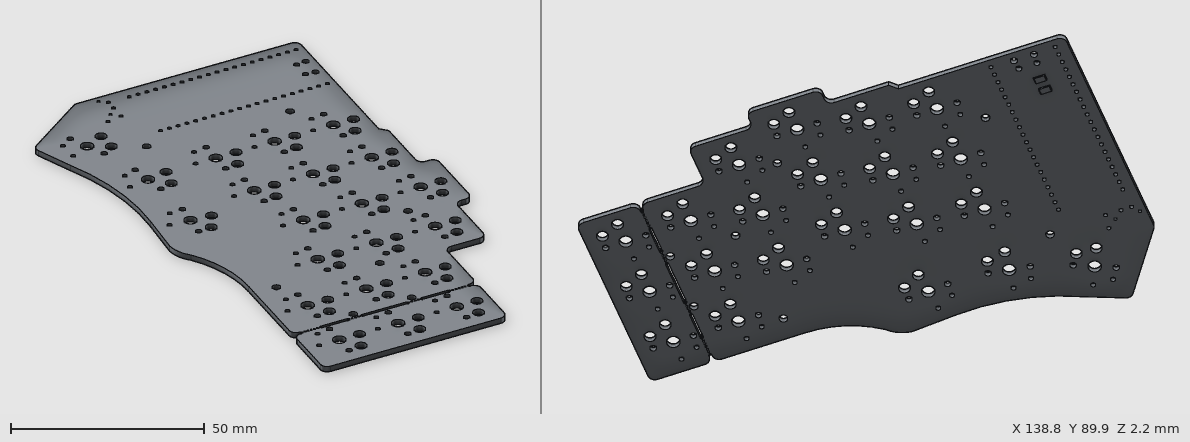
import cadquery as cq
import math


board_length = 138.8
board_thickness = 1.7
corner_radius = 2.0
key_margin = 9.6

rows = 3
grid_height = 34.0
grid_length = 90.0
first_column_x = 38.9
column_bottom_y = [39.4, 41.4, 46.4, 41.4, 29.3, 29.3]

thumb_keys = [(18.9, 12.4, 25), (39.8, 19.3, 10), (61.8, 20.4, -5)]

stem_diameter = 3.5
socket_diameter = 3.0
socket_places = [(0, 5.8), (5.0, 3.7)]
peg_diameter = 1.7
peg_places = [(-5.5, 0), (5.5, 0)]
pin_diameter = 1.26
pin_places = [(0, -5.8), (-5.0, -3.7)]

bevel_start_x = 45.8
step_up_x = 64.8
step_down_x = 85.2
outer_step_x = 103.1

left_edge_end = (0, 18.5)
lower_tip = (13.6, -0.4)
palm_arc = [(25.0, 4.5), (40.3, 9.7), (57.6, 11.0)]
bulge_arc = [(70.1, 10.1), (73.5, 11.1), (76.3, 13.2)]
hollow_middle = (86.0, 18.2)
hollow_end_x = 96.0

gap_x = 121.5
gap_width = 0.8
inner_tab_offset = 8.6
outer_tab_offset = 21.4
break_hole_diameter = 0.5
break_hole_pitch = 0.9
inner_tab_break_holes = 5
outer_tab_break_holes = 7

controller_pins = 20
controller_pin_diameter = 1.01
controller_row_x = [3.3, 21.1]
controller_first_pin_y = 32.5
controller_row_length = 48.3

connector_x = 12.1
connector_wide_diameter = 1.8
connector_wide_y = 80.5
connector_wide_half_spacing = 2.8
connector_narrow_diameter = 1.5
connector_narrow_y = 77.7
connector_narrow_half_spacing = 2.5

corner_pin_diameter = 1.01
corner_pin_places = [(3.2, 26.5), (6.1, 26.5), (10.4, 26.5), (11.1, 22.3)]
corner_peg_diameter = 0.8
corner_peg_places = [(1.7, 24.4), (8.5, 24.4)]

mounting_diameter = 2.2
mounting_places = [(26.0, 26.0), (28.2, 66.3), (83.4, 72.3), (99.7, 26.0), (101.7, 54.8),
                   (119.8, 54.8), (119.8, 37.9)]

resistor_length = 3.2
resistor_width = 1.7
resistor_height = 0.5
resistor_end_chamfer = 0.21
resistor_x = 10.5
resistor_y = [69.3, 72.9]

row_pitch = grid_height / (rows - 1)
column_pitch = grid_length / (len(column_bottom_y) - 1)
controller_pin_pitch = controller_row_length / (controller_pins - 1)
column_height = grid_height + 2 * key_margin
column_top_y = [y + grid_height + key_margin for y in column_bottom_y]
outer_bottom_y = column_bottom_y[-1] - key_margin
main_right_x = gap_x - gap_width / 2
snap_left_x = gap_x + gap_width / 2
gap_middle_y = outer_bottom_y + column_height / 2


def turned(point, degrees):
    """The point turned about the origin."""
    angle = math.radians(degrees)
    x, y = point
    return (x * math.cos(angle) - y * math.sin(angle), x * math.sin(angle) + y * math.cos(angle))


def drills(places, diameter):
    """Cylinders that drill holes through the board."""
    return cq.Workplane("XY").pushPoints(places).circle(diameter / 2).extrude(board_thickness)


def round_corners(board, corners):
    """The board with its upright edges at these corners rounded."""
    for x, y in corners:
        upright_edge = cq.NearestToPointSelector((x, y, board_thickness / 2))
        board = board.edges(upright_edge).fillet(corner_radius)
    return board


def make_main_area():
    """The large area of the board, with its stepped upper and curved lower edge."""
    left_top, index_top, middle_top, ring_top, outer_top = column_top_y[:5]
    bevel = index_top - left_top
    upper_corners = [
        (main_right_x, outer_bottom_y),
        (main_right_x, outer_top),
        (outer_step_x, outer_top),
        (outer_step_x, ring_top),
        (step_down_x, ring_top),
        (step_down_x, middle_top),
        (step_up_x, middle_top),
        (step_up_x, index_top),
    ]
    left_corners = [(0, left_top), left_edge_end]
    area = cq.Workplane("XY").moveTo(*lower_tip).lineTo(*palm_arc[0])
    area = area.threePointArc(palm_arc[1], palm_arc[2]).lineTo(*bulge_arc[0])
    area = area.threePointArc(bulge_arc[1], bulge_arc[2])
    area = area.threePointArc(hollow_middle, (hollow_end_x, outer_bottom_y))
    for corner in upper_corners:
        area = area.lineTo(*corner)
    area = area.lineTo(bevel_start_x + bevel, index_top).lineTo(bevel_start_x, left_top)
    for corner in left_corners:
        area = area.lineTo(*corner)
    area = area.close().extrude(board_thickness)
    return round_corners(area, upper_corners + left_corners + [lower_tip])


def make_snap_column():
    """The plate of the snap-off outer column."""
    width = board_length - snap_left_x
    column = cq.Workplane("XY").box(width, column_height, board_thickness, centered=False)
    column = column.edges("|Z").fillet(corner_radius)
    return column.translate((snap_left_x, outer_bottom_y, 0))


def break_tabs():
    """The tabs across the gap, and the drills for their break holes."""
    tabs = cq.Workplane("XY")
    hole_places = []
    for offset, count in [(inner_tab_offset, inner_tab_break_holes),
                          (outer_tab_offset, outer_tab_break_holes)]:
        half_span = (count - 1) / 2 * break_hole_pitch
        height = 2 * half_span + break_hole_diameter
        for tab_y in (gap_middle_y - offset, gap_middle_y + offset):
            tab = cq.Workplane("XY").center(gap_x, tab_y).rect(gap_width, height)
            tabs = tabs.add(tab.extrude(board_thickness))
            for i in range(count):
                hole_places.append((gap_x, tab_y - half_span + i * break_hole_pitch))
    return tabs, drills(hole_places, break_hole_diameter)


def key_drills():
    """Drills for the switch holes of every key."""
    keys = list(thumb_keys)
    for column, bottom_y in enumerate(column_bottom_y):
        for row in range(rows):
            keys.append((first_column_x + column * column_pitch, bottom_y + row * row_pitch, 0))
    tools = []
    for places, diameter in [([(0, 0)], stem_diameter), (socket_places, socket_diameter),
                             (peg_places, peg_diameter), (pin_places, pin_diameter)]:
        hole_places = []
        for key_x, key_y, turn in keys:
            for place in places:
                dx, dy = turned(place, turn)
                hole_places.append((key_x + dx, key_y + dy))
        tools.append(drills(hole_places, diameter))
    return tools


def controller_drills():
    """Drills for the two pin rows of the controller."""
    hole_places = []
    for x in controller_row_x:
        for i in range(controller_pins):
            hole_places.append((x, controller_first_pin_y + i * controller_pin_pitch))
    return drills(hole_places, controller_pin_diameter)


def connector_drills():
    """Drills for the connector: a wide pair and a narrow pair of holes."""
    tools = []
    for y, half_spacing, diameter in [
        (connector_wide_y, connector_wide_half_spacing, connector_wide_diameter),
        (connector_narrow_y, connector_narrow_half_spacing, connector_narrow_diameter),
    ]:
        pair = [(connector_x - half_spacing, y), (connector_x + half_spacing, y)]
        tools.append(drills(pair, diameter))
    return tools


def make_board():
    """The circuit board: main area and snap-off column in one piece, with all its holes."""
    tabs, break_drills = break_tabs()
    board = make_main_area().union(make_snap_column())
    for tab in tabs.vals():
        board = board.union(cq.Workplane(tab))
    tools = [
        break_drills,
        *key_drills(),
        controller_drills(),
        *connector_drills(),
        drills(corner_pin_places, corner_pin_diameter),
        drills(corner_peg_places, corner_peg_diameter),
        drills(mounting_places, mounting_diameter),
    ]
    for tool in tools:
        board = board.cut(tool)
    return board


def make_resistor(y):
    """A chip resistor hanging under the board, its two lower end edges chamfered."""
    resistor = cq.Workplane("XY").box(resistor_length, resistor_width, resistor_height)
    resistor = resistor.faces("<Z").edges("|Y").chamfer(resistor_end_chamfer)
    return resistor.translate((resistor_x, y, -resistor_height / 2))


board = make_board()
resistors = [make_resistor(y) for y in resistor_y]

result = cq.Compound.makeCompound([board.val(), *[resistor.val() for resistor in resistors]])